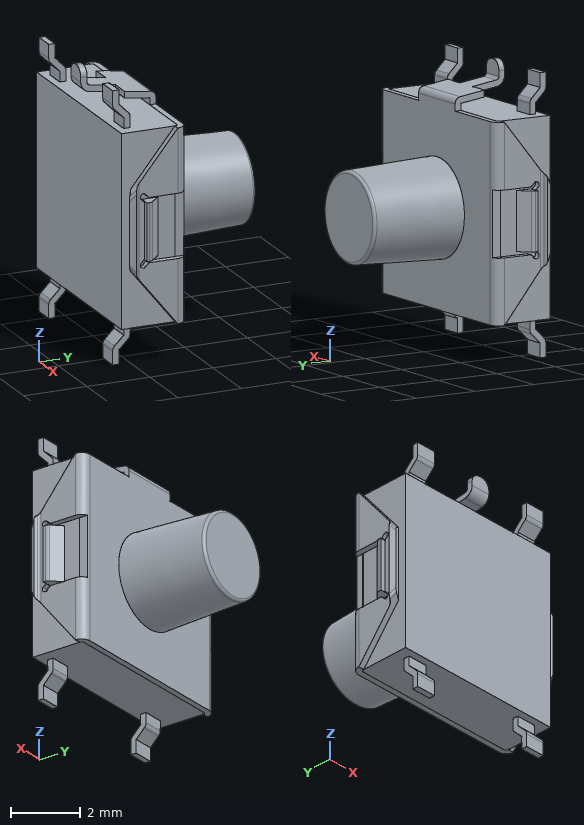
import cadquery as cq
import math


SIDE = 6.0
HALF_SIDE = SIDE / 2
HOUSING_DEPTH = 1.8
HOUSING_EDGE_RADIUS = 0.1

HOOK_LENGTH = 1.8
HOOK_REACH = 0.35
HOOK_SEAT = 0.65
HOOK_RAMP_TOP = 1.15
HOOK_RADIUS = 0.15

SHEET = 0.2
COVER_FACE = HOUSING_DEPTH + SHEET
COVER_BEND_RADIUS = HOUSING_EDGE_RADIUS + SHEET
WALL_TOP = COVER_FACE - COVER_BEND_RADIUS
WALL_FACE = HALF_SIDE + SHEET

LIP_ANGLE = math.radians(30)
LIP_OUT = HALF_SIDE + HOOK_REACH
LIP_LOW = 0.14
LIP_HALF_LENGTH = 1.075
LIP_BEND_RADIUS = 0.1
LIP_CORNER_RADIUS = 0.1

WINDOW_LENGTH = 2.0
RELIEF_RADIUS = 0.09
RELIEF_OFFSET = 0.04
RELIEF_SLOT = 0.25
RELIEF_ANGLE = 45

TAB_WIDTH = 2.0
TAB_NARROW_WIDTH = 0.7
TAB_STEP = 1.0
TAB_SLOPE = math.tan(math.radians(7.7))
TAB_CORNER_Z = 3.385
TAB_TOP_RADIUS = 0.2
TAB_FOOT_INNER_RADIUS = 0.1
TAB_FOOT_OUTER_RADIUS = 0.32
TAB_TIP_RADIUS = 0.3

TERMINAL_WIDTH = 0.7
TERMINAL_SPACING = 4.5
TERMINAL_SHEET = SHEET
TERMINAL_ROOT = 0.25
TERMINAL_CRANK_Z = 3.41
CRANK_ANGLE = math.radians(45)
TERMINAL_BEND_RADIUS = 0.2
FOOT_LOW = -0.1
FOOT_HIGH = FOOT_LOW + TERMINAL_SHEET
FOOT_END = 4.2

BUTTON_LENGTH = 3.0
BUTTON_BASE_RADIUS = 1.5
BUTTON_TIP_RADIUS = 1.39
BUTTON_EDGE_RADIUS = 0.09


def centred_plate(points, thickness, plane):
    """Closed polygon thickened equally to both sides of a base plane."""
    return cq.Workplane(plane).polyline(points).close().extrude(thickness / 2, both=True)


def round_edge(body, point, radius):
    """Fillet the edge whose centre lies nearest to a point."""
    return body.edges(cq.selectors.NearestToPointSelector(point)).fillet(radius)


def both_sides(body):
    """A +X feature together with its mirror image at -X."""
    return body.union(body.mirror("YZ"))


def make_hook():
    hook_face = HALF_SIDE + HOOK_REACH
    ramp_end = HOOK_RAMP_TOP - HOOK_REACH
    profile = [
        (0, HOOK_SEAT),
        (hook_face, HOOK_SEAT),
        (hook_face, ramp_end),
        (HALF_SIDE, HOOK_RAMP_TOP),
        (0, HOOK_RAMP_TOP),
    ]
    hook = centred_plate(profile, HOOK_LENGTH, "XY")
    return round_edge(hook, (hook_face, ramp_end, 0), HOOK_RADIUS)


def make_housing():
    block = cq.Workplane("XY").box(SIDE, HOUSING_DEPTH, SIDE, centered=(True, False, True))
    block = block.edges("|Z and >Y").fillet(HOUSING_EDGE_RADIUS)
    return block.union(both_sides(make_hook()))


def make_cover_side():
    """+X half of the cover: half the face plate and one tapered wall with its flared lip."""
    slope = math.tan(LIP_ANGLE)
    tip_shift_x = SHEET * math.sin(LIP_ANGLE)
    tip_shift_y = SHEET * math.cos(LIP_ANGLE)
    inner_tip = (LIP_OUT - tip_shift_x, LIP_LOW)
    outer_tip = (LIP_OUT, LIP_LOW + tip_shift_y)
    inner_bend_y = inner_tip[1] + (inner_tip[0] - HALF_SIDE) * slope
    outer_bend_y = outer_tip[1] + (LIP_OUT - WALL_FACE) * slope
    profile = [
        (0, COVER_FACE),
        (WALL_FACE, COVER_FACE),
        (WALL_FACE, outer_bend_y),
        outer_tip,
        inner_tip,
        (HALF_SIDE, inner_bend_y),
        (HALF_SIDE, HOUSING_DEPTH),
        (0, HOUSING_DEPTH),
    ]
    side = centred_plate(profile, SIDE, "XY")
    side = round_edge(side, (WALL_FACE, COVER_FACE, 0), COVER_BEND_RADIUS)
    side = round_edge(side, (HALF_SIDE, HOUSING_DEPTH, 0), HOUSING_EDGE_RADIUS)
    side = round_edge(side, (WALL_FACE, outer_bend_y, 0), LIP_BEND_RADIUS)

    taper = [
        (COVER_FACE, HALF_SIDE),
        (WALL_TOP, HALF_SIDE),
        (LIP_LOW, LIP_HALF_LENGTH),
        (LIP_LOW, -LIP_HALF_LENGTH),
        (WALL_TOP, -HALF_SIDE),
        (COVER_FACE, -HALF_SIDE),
    ]
    side = side.intersect(centred_plate(taper, 2 * LIP_OUT, "YZ"))

    tip_x = (inner_tip[0] + outer_tip[0]) / 2
    tip_y = (inner_tip[1] + outer_tip[1]) / 2
    for end in (1, -1):
        side = round_edge(side, (tip_x, tip_y, end * LIP_HALF_LENGTH), LIP_CORNER_RADIUS)
    return side.cut(make_window())


def make_window():
    """Cutter for the snap window in the +X wall, with a slanted relief slot at each lower corner."""
    window = cq.Workplane("XY").box(
        HOOK_REACH, COVER_FACE - HOOK_SEAT, WINDOW_LENGTH, centered=(False, False, True)
    ).translate((HALF_SIDE, HOOK_SEAT, 0))
    inward = RELIEF_SLOT / 2 * math.cos(math.radians(RELIEF_ANGLE)) - RELIEF_OFFSET
    slot_length = RELIEF_SLOT + 2 * RELIEF_RADIUS
    for end in (1, -1):
        relief = (
            cq.Workplane("YZ", origin=(HALF_SIDE, 0, 0))
            .center(HOOK_SEAT + inward, end * (WINDOW_LENGTH / 2 - inward))
            .slot2D(slot_length, 2 * RELIEF_RADIUS, -RELIEF_ANGLE * end)
            .extrude(HOOK_REACH)
        )
        window = window.union(relief)
    return window


def make_tab():
    """Grounding tab: a sloped T-shaped strip ending in a round-tipped foot."""
    slope_height = SHEET * math.sqrt(1 + TAB_SLOPE ** 2)

    def upper_z(y):
        return TAB_CORNER_Z + (COVER_FACE - y) * TAB_SLOPE

    def lower_z(y):
        return upper_z(y) - slope_height

    profile = [
        (COVER_FACE, HALF_SIDE),
        (COVER_FACE, upper_z(COVER_FACE)),
        (FOOT_HIGH, upper_z(FOOT_HIGH)),
        (FOOT_HIGH, FOOT_END),
        (FOOT_LOW, FOOT_END),
        (FOOT_LOW, lower_z(FOOT_LOW)),
        (HOUSING_DEPTH, lower_z(HOUSING_DEPTH)),
        (HOUSING_DEPTH, HALF_SIDE),
    ]
    tab = centred_plate(profile, TAB_WIDTH, "YZ")
    tab = round_edge(tab, (0, COVER_FACE, upper_z(COVER_FACE)), TAB_TOP_RADIUS)
    tab = round_edge(tab, (0, FOOT_HIGH, upper_z(FOOT_HIGH)), TAB_FOOT_INNER_RADIUS)
    tab = round_edge(tab, (0, FOOT_LOW, lower_z(FOOT_LOW)), TAB_FOOT_OUTER_RADIUS)

    wide_part = cq.Workplane("XY").box(
        TAB_WIDTH, COVER_FACE - TAB_STEP, FOOT_END, centered=(True, False, False)
    ).translate((0, TAB_STEP, 0))
    tongue = cq.Workplane("XY").box(
        TAB_NARROW_WIDTH, COVER_FACE - FOOT_LOW, FOOT_END, centered=(True, False, False)
    ).translate((0, FOOT_LOW, 0))
    tongue = tongue.edges("|Y and >Z").fillet(TAB_TIP_RADIUS)
    outline = tongue.union(wide_part)
    return tab.intersect(outline)


def make_cover():
    return both_sides(make_cover_side()).union(make_tab())


def make_terminal(x, end):
    """Cranked terminal leaving the housing's +Z face (end = 1) or -Z face (end = -1)."""
    root_top = TERMINAL_ROOT + TERMINAL_SHEET
    drop = root_top - FOOT_HIGH
    lower_corner_shift = TERMINAL_SHEET * math.tan(CRANK_ANGLE / 2)
    root_corner_z = TERMINAL_CRANK_Z
    foot_corner_z = root_corner_z + drop / math.tan(CRANK_ANGLE)
    profile = [
        (TERMINAL_ROOT, HALF_SIDE),
        (root_top, HALF_SIDE),
        (root_top, root_corner_z),
        (FOOT_HIGH, foot_corner_z),
        (FOOT_HIGH, FOOT_END),
        (FOOT_LOW, FOOT_END),
        (FOOT_LOW, foot_corner_z - lower_corner_shift),
        (TERMINAL_ROOT, root_corner_z - lower_corner_shift),
    ]
    terminal = centred_plate(profile, TERMINAL_WIDTH, "YZ")
    terminal = round_edge(terminal, (0, root_top, root_corner_z), TERMINAL_BEND_RADIUS)
    terminal = round_edge(terminal, (0, FOOT_LOW, foot_corner_z - lower_corner_shift), TERMINAL_BEND_RADIUS)
    if end < 0:
        terminal = terminal.mirror("XY")
    return terminal.translate((x, 0, 0))


def make_button():
    """Tapered round button standing on the cover."""
    tip_y = COVER_FACE + BUTTON_LENGTH
    profile = [
        (COVER_FACE, 0),
        (COVER_FACE, BUTTON_BASE_RADIUS),
        (tip_y, BUTTON_TIP_RADIUS),
        (tip_y, 0),
    ]
    button = cq.Workplane("YZ").polyline(profile).close().revolve(360, (0, 0, 0), (1, 0, 0))
    return button.faces(">Y").edges().fillet(BUTTON_EDGE_RADIUS)


housing = make_housing()
cover = make_cover()
button = make_button()
terminals = []
for side in (1, -1):
    for end in (1, -1):
        terminals.append(make_terminal(side * TERMINAL_SPACING / 2, end).val())

result = cq.Compound.makeCompound([housing.val(), cover.val(), button.val(), *terminals])